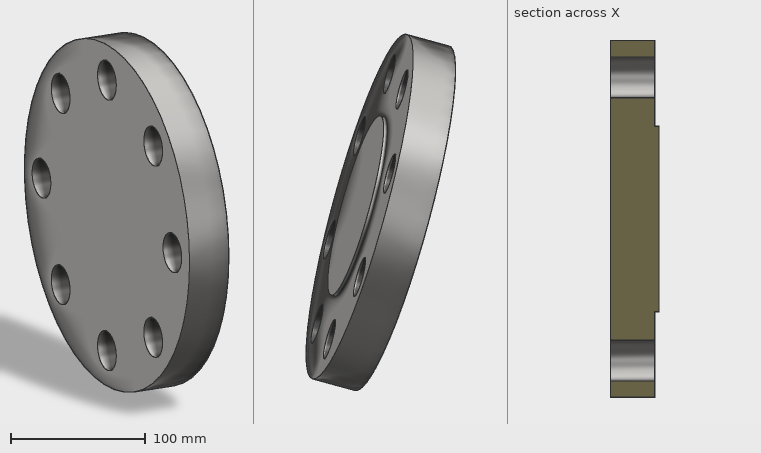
import cadquery as cq

flange_diameter = 265.0
total_thickness = 36.0
raised_face_diameter = 138.0
raised_face_height = 3.0
bolt_circle_diameter = 210.0
bolt_hole_diameter = 30.0
bolt_count = 8

disc_thickness = total_thickness - raised_face_height


def cylinder_along_y(diameter, start_y, length):
    """Solid cylinder on the Y axis, reaching from start_y towards +Y."""
    return cq.Workplane("XZ", origin=(0, start_y, 0)).circle(diameter / 2).extrude(-length)


def bolt_holes():
    """Through-hole cutters, evenly spaced on the bolt circle."""
    return (
        cq.Workplane("XZ")
        .polarArray(bolt_circle_diameter / 2, 0, 360, bolt_count)
        .circle(bolt_hole_diameter / 2)
        .extrude(-disc_thickness)
    )


disc = cylinder_along_y(flange_diameter, 0, disc_thickness)
raised_face = cylinder_along_y(raised_face_diameter, disc_thickness, raised_face_height)

result = disc.union(raised_face).cut(bolt_holes())